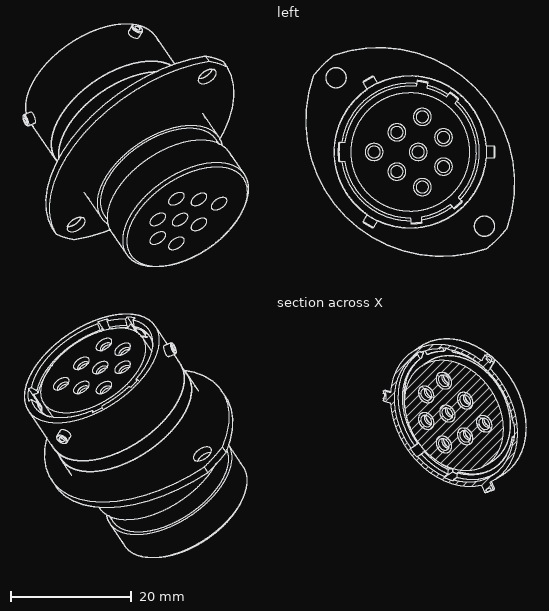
import cadquery as cq
import math


LENGTH = 33.32
FRONT_RADIUS = 12.63
FRONT_GROOVE_START = 9.03
FRONT_GROOVE_END = 11.6
FRONT_GROOVE_DEPTH = 0.1
REAR_RADIUS = 11.8
REAR_GROOVE_START = 23.8
REAR_GROOVE_END = 27.35
REAR_GROOVE_DEPTH = 0.62
REAR_CHAMFER = 0.52

FLANGE_START = 15.95
FLANGE_THICKNESS = 1.3
FLANGE_END = FLANGE_START + FLANGE_THICKNESS
FLANGE_SIDE_RADIUS = 22.5
FLANGE_HALF_SPAN = 17.3
FLANGE_SIDE_OFFSET = FLANGE_SIDE_RADIUS - FLANGE_HALF_SPAN
FLANGE_END_RADIUS = 20.4
FLANGE_FILLET = 0.9
MOUNT_HOLE_OFFSET = 12.3
MOUNT_HOLE_RADIUS = 1.65

MOUTH_RADIUS = 11.42
LIP_RADIUS = 10.95
MOUTH_TAPER_DEPTH = 1.05
LIP_END = 1.5
RECESS_RADIUS = 11.75
RECESS_DEPTH = FRONT_GROOVE_START
CARRIER_RADIUS = 9.83
CARRIER_SETBACK = 0.5

KEYWAY_RADIUS = 11.95
KEYWAY_DEPTH = RECESS_DEPTH / 2
MAIN_KEYWAY_WIDTH = 3.22
KEYWAY_WIDTH = 1.75
KEYWAY_ANGLES = [95, 132, 232, 260]

PEG_X = 2.55
PEG_RADIUS = 1.0
PEG_TIP_RADIUS = 14.0
PEG_CHAMFER = 0.15
PEG_DIMPLE_RADIUS = 0.45
PEG_DIMPLE_DEPTH = 0.52
PEG_ANGLES = [180, 300, 60]

BORE_RADIUS = 1.0
ENTRY_RADIUS = 1.45
ENTRY_TAPER_DEPTH = 0.62
CONTACT_SETBACK = 1.1
CONTACT_RADIUS = ENTRY_RADIUS
CONTACT_BORE_DEPTH = 6.92
CONTACT_START = CARRIER_SETBACK + CONTACT_SETBACK

CENTRE_CONTACTS = [(6.0, 0), (-1.3, 0)]
PAIRED_CONTACTS = [(-2.0, 5.8), (2.2, 3.25), (-5.5, 2.42)]
MIRRORED_CONTACTS = [(y, -z) for y, z in PAIRED_CONTACTS]
CONTACT_POSITIONS = CENTRE_CONTACTS + PAIRED_CONTACTS + MIRRORED_CONTACTS


def cylinder_x(radius, start, end, y=0, z=0):
    """Cylinder parallel to X between two X positions."""
    return cq.Workplane("YZ", origin=(start, 0, 0)).center(y, z).circle(radius).extrude(end - start)


def revolve_x(profile):
    """Solid of revolution about X of a closed (X, radius) profile."""
    return profile.close().revolve(360, (0, 0, 0), (1, 0, 0))


def make_shell_barrel():
    """Stepped barrel with concave fillets running up to both flange faces."""
    front_groove_radius = FRONT_RADIUS - FRONT_GROOVE_DEPTH
    rear_groove_radius = REAR_RADIUS - REAR_GROOVE_DEPTH
    fillet_gap = FLANGE_FILLET * (1 - math.sqrt(0.5))
    profile = (
        cq.Workplane("XY")
        .lineTo(0, FRONT_RADIUS)
        .lineTo(FRONT_GROOVE_START, FRONT_RADIUS)
        .lineTo(FRONT_GROOVE_START, front_groove_radius)
        .lineTo(FRONT_GROOVE_END, front_groove_radius)
        .lineTo(FRONT_GROOVE_END, FRONT_RADIUS)
        .lineTo(FLANGE_START - FLANGE_FILLET, FRONT_RADIUS)
        .threePointArc(
            (FLANGE_START - fillet_gap, FRONT_RADIUS + fillet_gap),
            (FLANGE_START, FRONT_RADIUS + FLANGE_FILLET),
        )
        .lineTo(FLANGE_END, FRONT_RADIUS + FLANGE_FILLET)
        .lineTo(FLANGE_END, REAR_RADIUS + FLANGE_FILLET)
        .threePointArc(
            (FLANGE_END + fillet_gap, REAR_RADIUS + fillet_gap),
            (FLANGE_END + FLANGE_FILLET, REAR_RADIUS),
        )
        .lineTo(REAR_GROOVE_START, REAR_RADIUS)
        .lineTo(REAR_GROOVE_START, rear_groove_radius)
        .lineTo(REAR_GROOVE_END, rear_groove_radius)
        .lineTo(REAR_GROOVE_END, REAR_RADIUS)
        .lineTo(LENGTH - REAR_CHAMFER, REAR_RADIUS)
        .lineTo(LENGTH, REAR_RADIUS - REAR_CHAMFER)
        .lineTo(LENGTH, 0)
    )
    return revolve_x(profile)


def make_flange():
    """Oval flange: the overlap of three discs, with two mounting holes."""
    flange = cylinder_x(FLANGE_END_RADIUS, FLANGE_START, FLANGE_END)
    for side in (1, -1):
        offset = side * FLANGE_SIDE_OFFSET
        flange = flange.intersect(
            cylinder_x(FLANGE_SIDE_RADIUS, FLANGE_START, FLANGE_END, offset, -offset)
        )
    for side in (1, -1):
        offset = side * MOUNT_HOLE_OFFSET
        flange = flange.cut(cylinder_x(MOUNT_HOLE_RADIUS, FLANGE_START, FLANGE_END, offset, offset))
    return flange


def make_peg(angle):
    """Bayonet peg with a chamfered, dimpled tip; angle runs about X from +Y."""
    peg_base_radius = (FRONT_RADIUS + MOUTH_RADIUS) / 2
    peg = (
        cq.Workplane("XZ", origin=(PEG_X, peg_base_radius, 0))
        .circle(PEG_RADIUS)
        .extrude(peg_base_radius - PEG_TIP_RADIUS)
        .faces(">Y")
        .chamfer(PEG_CHAMFER)
        .faces(">Y")
        .workplane()
        .hole(2 * PEG_DIMPLE_RADIUS, PEG_DIMPLE_DEPTH)
    )
    return peg.rotate((0, 0, 0), (1, 0, 0), angle)


def make_mating_recess():
    """Cutter for the tapered mouth, the lip and the wider annular recess behind it."""
    profile = (
        cq.Workplane("XY")
        .lineTo(0, MOUTH_RADIUS)
        .lineTo(MOUTH_TAPER_DEPTH, LIP_RADIUS)
        .lineTo(LIP_END, LIP_RADIUS)
        .lineTo(LIP_END, RECESS_RADIUS)
        .lineTo(RECESS_DEPTH, RECESS_RADIUS)
        .lineTo(RECESS_DEPTH, CARRIER_RADIUS)
        .lineTo(CARRIER_SETBACK, CARRIER_RADIUS)
        .lineTo(CARRIER_SETBACK, 0)
    )
    return revolve_x(profile)


def make_keyway(width, angle):
    """Cutter for one keyway, outside the carrier and inside the keyway radius."""
    block = cq.Workplane("XY").box(
        KEYWAY_DEPTH, KEYWAY_RADIUS, width, centered=(False, False, True)
    )
    block = block.rotate((0, 0, 0), (1, 0, 0), -angle)
    ring = cylinder_x(KEYWAY_RADIUS, 0, KEYWAY_DEPTH).cut(cylinder_x(CARRIER_RADIUS, 0, KEYWAY_DEPTH))
    return block.intersect(ring)


def make_contact_cavity(y, z):
    """Cutter for a tapered entry, a short bore and the seat of one contact."""
    entry_profile = (
        cq.Workplane("XY", origin=(CARRIER_SETBACK, 0, 0))
        .lineTo(0, ENTRY_RADIUS)
        .lineTo(ENTRY_TAPER_DEPTH, BORE_RADIUS)
        .lineTo(CONTACT_SETBACK, BORE_RADIUS)
        .lineTo(CONTACT_SETBACK, 0)
    )
    entry = revolve_x(entry_profile).translate((0, y, z))
    return entry.union(cylinder_x(CONTACT_RADIUS, CONTACT_START, LENGTH, y, z))


def make_connector_body():
    """Shell, flange, pegs and contact carrier in one solid."""
    body = make_shell_barrel().union(make_flange())
    for angle in PEG_ANGLES:
        body = body.union(make_peg(angle))
    body = body.cut(make_mating_recess())
    body = body.cut(make_keyway(MAIN_KEYWAY_WIDTH, 0))
    for angle in KEYWAY_ANGLES:
        body = body.cut(make_keyway(KEYWAY_WIDTH, angle))
    for y, z in CONTACT_POSITIONS:
        body = body.cut(make_contact_cavity(y, z))
    return body


def make_contact(y, z):
    """Socket contact with a blind bore in its front end."""
    contact = cylinder_x(CONTACT_RADIUS, CONTACT_START, LENGTH, y, z)
    bore = cylinder_x(BORE_RADIUS, CONTACT_START, CONTACT_START + CONTACT_BORE_DEPTH, y, z)
    return contact.cut(bore)


connector_body = make_connector_body()
contacts = [make_contact(y, z) for y, z in CONTACT_POSITIONS]

result = cq.Compound.makeCompound([connector_body.val(), *[contact.val() for contact in contacts]])